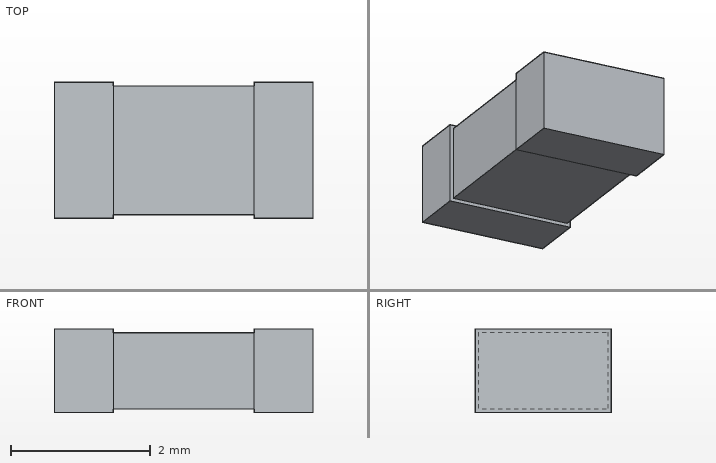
import cadquery as cq

total_length = 3.7
cap_width = 1.95
cap_height = 1.2

cap_length = 0.845
cap_step = 0.05

body_length = total_length - 2 * cap_length
body_width = cap_width - 2 * cap_step
body_height = cap_height - 2 * cap_step


def make_body():
    """Plain block filling the space between the caps."""
    return cq.Workplane("XY").box(body_length, body_width, body_height)


def make_end_cap(side):
    """Terminal block at one end; side is -1 for the -X end, +1 for the +X end."""
    cap_center_x = side * (total_length - cap_length) / 2
    return cq.Workplane("XY").box(cap_length, cap_width, cap_height).translate((cap_center_x, 0, 0))


body = make_body()
end_caps = [make_end_cap(side) for side in (-1, 1)]

result = cq.Compound.makeCompound([body.val(), *[cap.val() for cap in end_caps]])